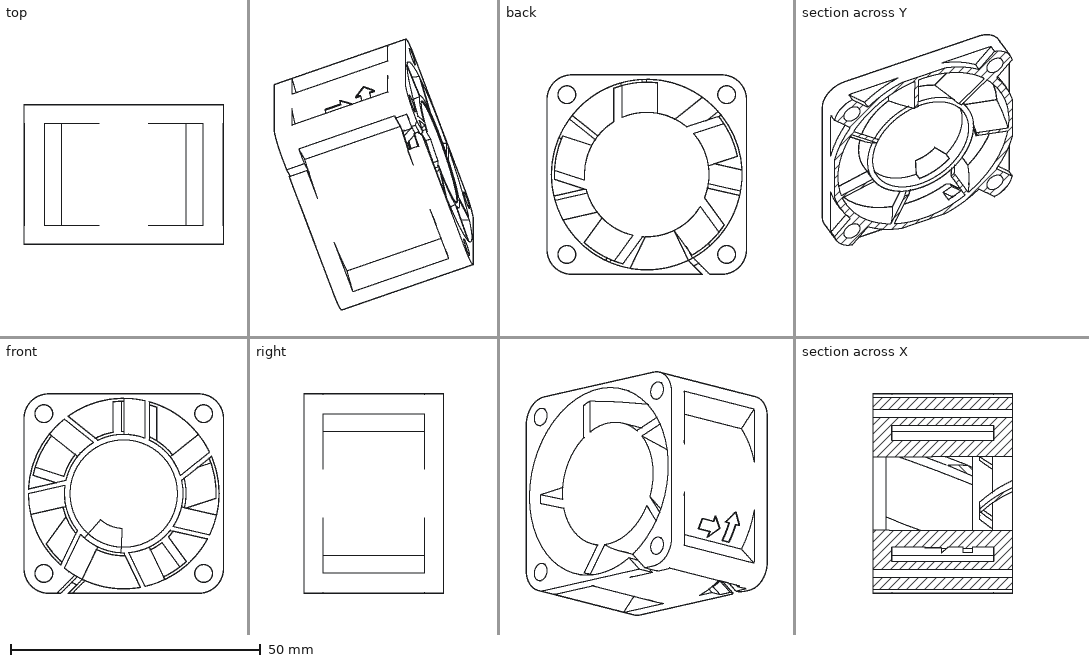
import cadquery as cq
import math

SIDE = 40.0
DEPTH = 28.0
CORNER_RADIUS = 5.0
FRONT_Y = -DEPTH / 2
REAR_Y = DEPTH / 2
BORE_RADIUS = 19.1
MOUNT_PITCH = 32.0
MOUNT_DIAMETER = 3.5

FLANGE = 3.8
DUCT_RADIUS = 20.6
POST_WIDTH = 5.7
FLANGE_GAP = DEPTH - 2 * FLANGE

SLOT_WIDTH = 1.1
SLOT_CHAMFER = 0.55
SLOT_X = -11.9
SLOT_ANGLE = 45.0
SLOT_LENGTH = 8.0
SLOT_LIP = 1.4
CHANNEL_WIDTH = 5.0

ARROW_LENGTH = 5.6
ARROW_HEAD_LENGTH = 2.3
ARROW_HEAD_HALF = 2.0
ARROW_SHAFT_HALF = 0.95
ARROW_HEIGHT = 0.2
FLOW_ARROW_TIP = (-2.0, -9.9)
SPIN_ARROW_TIP = (-5.0, -6.25)

BASE_RADIUS = 11.9
BASE_INNER_RADIUS = 10.75
BASE_LENGTH = 4.1
FLOOR_RECESS = 0.2
FLOOR_THICKNESS = 1.0
WINDOW_RADIUS = 7.0
WINDOW_DEPTH = 2.6
WINDOW_START = 228.5
WINDOW_END = 267.4

VANE_COUNT = 7
VANE_LENGTH = 6.6
VANE_THICKNESS = 0.9
VANE_FRONT_OFFSET = 4.25
VANE_REAR_OFFSET = 0.05
VANE_BOW = 0.3

BLADE_COUNT = 5
IMPELLER_FRONT_Y = -6.0
IMPELLER_LENGTH = 17.4
HUB_RADIUS = 12.5
BLADE_TIP_RADIUS = 18.5
BLADE_THICKNESS = 1.7
BLADE_OFFSET = -2.15
BLADE_SWEEP = 7.1


def cylinder(radius, y_start, length):
    """Solid cylinder along +Y, centred on the fan axis."""
    return cq.Workplane("XZ", origin=(0, y_start, 0)).circle(radius).extrude(-length)


def ring(outer, inner, y_start, length):
    """Ring around the fan axis."""
    return cylinder(outer, y_start, length).cut(cylinder(inner, y_start, length))


def around_axis(body, degrees):
    """Turn a body about the fan axis, clockwise as seen from the front."""
    return body.rotate((0, 0, 0), (0, 1, 0), degrees)


def make_frame():
    """Rounded square block with the bore and the four mounting holes."""
    frame = cq.Workplane("XY").box(SIDE, DEPTH, SIDE).edges("|Y").fillet(CORNER_RADIUS)
    frame = frame.cut(cylinder(BORE_RADIUS, FRONT_Y, DEPTH))
    holes = (
        cq.Workplane("XZ", origin=(0, FRONT_Y, 0))
        .rect(MOUNT_PITCH, MOUNT_PITCH, forConstruction=True)
        .vertices()
        .circle(MOUNT_DIAMETER / 2)
        .extrude(-DEPTH)
    )
    return frame.cut(holes)


def make_pockets():
    """Space between the flanges outside the duct wall and beside the corner posts."""
    pockets = cq.Workplane("XY").box(SIDE, FLANGE_GAP, SIDE)
    pockets = pockets.cut(cylinder(DUCT_RADIUS, -FLANGE_GAP / 2, FLANGE_GAP))
    post_pair = cq.Workplane("XY").box(2 * SIDE, FLANGE_GAP, POST_WIDTH)
    for angle in (45, -45):
        pockets = pockets.cut(around_axis(post_pair, angle))
    return pockets


def make_wire_slot():
    """Chamfered slot through both flanges, widened to a channel behind the front lip."""
    half = SLOT_WIDTH / 2
    chamfer_y = FRONT_Y + SLOT_CHAMFER
    profile = [
        (-half - SLOT_CHAMFER, FRONT_Y),
        (half + SLOT_CHAMFER, FRONT_Y),
        (half, chamfer_y),
        (half, REAR_Y),
        (-half, REAR_Y),
        (-half, chamfer_y),
    ]
    slot = cq.Workplane("XY").polyline(profile).close().extrude(SLOT_LENGTH, both=True)
    channel_depth = FLANGE - SLOT_LIP
    channel = (
        cq.Workplane("XY")
        .box(CHANNEL_WIDTH, channel_depth, 2 * SLOT_LENGTH)
        .translate((0, FRONT_Y + SLOT_LIP + channel_depth / 2, 0))
    )
    slot = slot.union(channel)
    slot = around_axis(slot, SLOT_ANGLE).translate((SLOT_X, 0, -SIDE / 2))
    return slot.cut(cylinder(DUCT_RADIUS, -FLANGE_GAP / 2, FLANGE_GAP))


def make_arrow(tip, degrees):
    """Raised arrow on the -X side of the duct wall; zero degrees points along +Y."""
    neck = -ARROW_HEAD_LENGTH
    outline = [
        (0, 0),
        (neck, ARROW_HEAD_HALF),
        (neck, ARROW_SHAFT_HALF),
        (-ARROW_LENGTH, ARROW_SHAFT_HALF),
        (-ARROW_LENGTH, -ARROW_SHAFT_HALF),
        (neck, -ARROW_SHAFT_HALF),
        (neck, -ARROW_HEAD_HALF),
    ]
    prism = cq.Workplane("YZ").polyline(outline).close().extrude(-SIDE / 2)
    prism = prism.rotate((0, 0, 0), (1, 0, 0), degrees).translate((0, *tip))
    skin = ring(DUCT_RADIUS + ARROW_HEIGHT, BORE_RADIUS, -FLANGE_GAP / 2, FLANGE_GAP)
    return prism.intersect(skin)


def make_window():
    """Ring sector cut from the front into the floor and rim of the motor base."""
    reach = 2 * BASE_RADIUS
    corners = [(0, 0)]
    for degrees in (WINDOW_START, WINDOW_END):
        angle = math.radians(degrees)
        corners.append((reach * math.cos(angle), reach * math.sin(angle)))
    wedge = cq.Workplane("XZ", origin=(0, FRONT_Y, 0)).polyline(corners).close().extrude(-WINDOW_DEPTH)
    return wedge.intersect(ring(BASE_RADIUS, WINDOW_RADIUS, FRONT_Y, WINDOW_DEPTH))


def make_motor_base():
    """Cup-shaped motor base with a slightly recessed floor and a wiring window."""
    rim = ring(BASE_RADIUS, BASE_INNER_RADIUS, FRONT_Y, BASE_LENGTH)
    floor = cylinder(BASE_INNER_RADIUS, FRONT_Y + FLOOR_RECESS, FLOOR_THICKNESS)
    return rim.union(floor).cut(make_window())


def make_vane():
    """Top guide vane, bowed along the axis and spanning from the motor base to the bore."""
    rear_y = FRONT_Y + VANE_LENGTH
    sweep = VANE_FRONT_OFFSET - VANE_REAR_OFFSET
    chord = math.hypot(sweep, VANE_LENGTH)
    bow_x = (VANE_FRONT_OFFSET + VANE_REAR_OFFSET) / 2 + VANE_BOW * VANE_LENGTH / chord
    bow_y = (FRONT_Y + rear_y) / 2 + VANE_BOW * sweep / chord
    vane = (
        cq.Workplane("XY")
        .moveTo(VANE_FRONT_OFFSET, FRONT_Y)
        .threePointArc((bow_x, bow_y), (VANE_REAR_OFFSET, rear_y))
        .lineTo(VANE_REAR_OFFSET + VANE_THICKNESS, rear_y)
        .threePointArc((bow_x + VANE_THICKNESS, bow_y), (VANE_FRONT_OFFSET + VANE_THICKNESS, FRONT_Y))
        .close()
        .extrude(SIDE / 2)
    )
    return vane.intersect(ring(BORE_RADIUS, BASE_RADIUS, FRONT_Y, VANE_LENGTH))


def make_housing():
    """Frame, motor base and guide vanes as one body."""
    housing = make_frame().cut(make_pockets()).cut(make_wire_slot())
    housing = housing.union(make_arrow(FLOW_ARROW_TIP, 180))
    housing = housing.union(make_arrow(SPIN_ARROW_TIP, 90))
    housing = housing.union(make_motor_base())
    vane = make_vane()
    for index in range(VANE_COUNT):
        housing = housing.union(around_axis(vane, index * 360 / VANE_COUNT))
    return housing


def make_blade():
    """Top impeller blade: a flat slanted slab from the hub to the tip radius."""
    rear_y = IMPELLER_FRONT_Y + IMPELLER_LENGTH
    rear_offset = BLADE_OFFSET + BLADE_SWEEP
    profile = [
        (BLADE_OFFSET, IMPELLER_FRONT_Y),
        (BLADE_OFFSET + BLADE_THICKNESS, IMPELLER_FRONT_Y),
        (rear_offset + BLADE_THICKNESS, rear_y),
        (rear_offset, rear_y),
    ]
    blade = cq.Workplane("XY").polyline(profile).close().extrude(SIDE / 2)
    return blade.intersect(cylinder(BLADE_TIP_RADIUS, IMPELLER_FRONT_Y, IMPELLER_LENGTH))


def make_impeller():
    """Hub with its ring of blades."""
    impeller = cylinder(HUB_RADIUS, IMPELLER_FRONT_Y, IMPELLER_LENGTH)
    blade = make_blade()
    for index in range(BLADE_COUNT):
        impeller = impeller.union(around_axis(blade, index * 360 / BLADE_COUNT))
    return impeller


housing = make_housing()
impeller = make_impeller()
result = cq.Compound.makeCompound([housing.val(), impeller.val()])